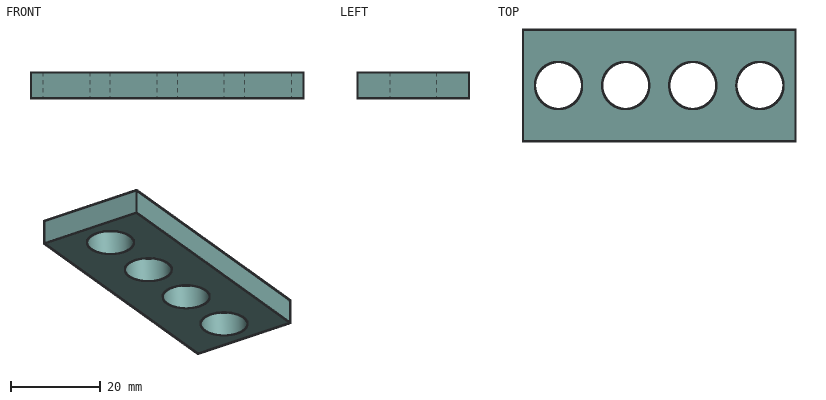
import cadquery as cq

length = 61.0
width = 25.0
thickness = 5.8

hole_count = 4
hole_diameter = 10.5
hole_pitch = 15.0

plate = cq.Workplane("XY").box(length, width, thickness)

result = (
    plate.faces(">Z")
    .workplane()
    .rarray(hole_pitch, width, hole_count, 1)
    .hole(hole_diameter)
)